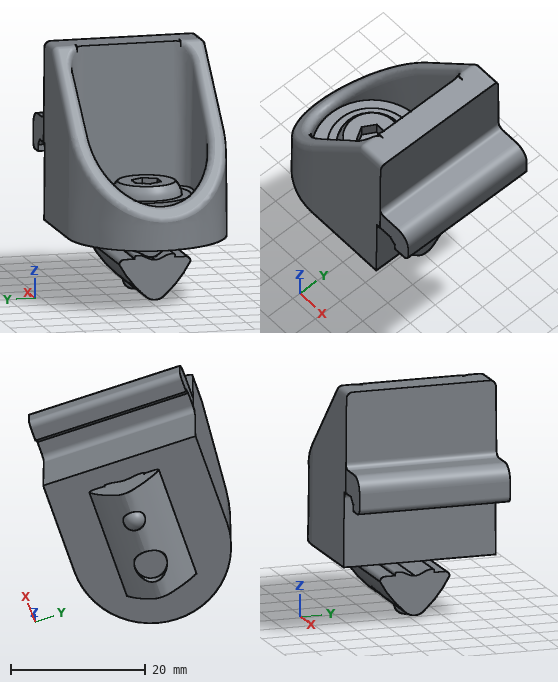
import cadquery as cq
import math


overall_length = 33.3
body_width = 24.0
body_half_width = body_width / 2
body_height = 27.0
body_draft = 0.5
lower_rear_x = 14.37
upper_rear_x = 15.05
slope_top_x = 10.35
edge_radius = 1.0
slope_side = cq.selectors.ParallelDirSelector(cq.Vector(-1, 0, 1))
touch_tolerance = 0.0005

hook_half_width = 11.87
hook_end_x = overall_length - body_half_width
hook_top_z = 15.3
hook_bottom_z = 11.58
hook_tip_z = 9.6
hook_inner_x = 18.35
hook_nose_radius = 2.4

floor_z = 5.0
cavity_half_width = 8.95
cavity_rear_x = 10.07
cavity_corner_radius = 2.0
cavity_draft = 1.0
clearance_diameter = 7.0

shank_diameter = 6.0
thread_core_diameter = 4.92
flange_diameter = 13.25
flange_height = 1.18
head_diameter = 10.62
head_top_diameter = 8.6
head_top_z = 8.2
head_dome_bulge = 0.2
hex_across_flats = 3.97
hex_depth = 2.0
screw_end_z = -7.0

nut_front_x = -5.07
nut_rear_x = 12.13
nut_top_z = -2.02
nut_shoulder_z = -2.55
nut_groove_z = -2.8
nut_bottom_z = -8.9
nut_half_width = 5.48
nut_rib_half_width = 3.1
nut_rib_radius = 0.25
nut_crest_y = 2.57
nut_corner_radius = 0.75
nut_flank_mid = (4.2, -5.33)
nut_tip_start = (1.6, -8.15)
ball_x = 7.55
ball_radius = 1.65
ball_bottom_z = -9.75


def d_prism(half_width, rear_x, base_z, height, taper, corner_radius=0.0):
    """Drafted prism with a half-round front and a square rear, whose corners may be rounded."""
    outline = (
        cq.Workplane("XY", origin=(0, 0, base_z))
        .moveTo(0, half_width)
        .threePointArc((-half_width, 0), (0, -half_width))
    )
    if corner_radius > 0:
        outline = (
            outline.lineTo(rear_x - corner_radius, -half_width)
            .radiusArc((rear_x, corner_radius - half_width), -corner_radius)
            .lineTo(rear_x, half_width - corner_radius)
            .radiusArc((rear_x - corner_radius, half_width), -corner_radius)
        )
    else:
        outline = outline.lineTo(rear_x, -half_width).lineTo(rear_x, half_width)
    return outline.close().extrude(height, taper=taper)


def make_block():
    """Drafted block under a 45 degree slope, with its upper edges rounded."""
    blank = d_prism(body_half_width, 2 * upper_rear_x, 0, body_height, body_draft)
    front_x = -2 * body_half_width
    slope_front_z = body_height - (slope_top_x - front_x)
    side = (
        cq.Workplane("XZ")
        .moveTo(front_x, slope_front_z)
        .lineTo(lower_rear_x, slope_front_z)
        .lineTo(lower_rear_x, hook_bottom_z)
        .lineTo(upper_rear_x, hook_bottom_z)
        .lineTo(upper_rear_x, body_height)
        .lineTo(slope_top_x, body_height)
        .close()
        .extrude(2 * body_half_width, both=True)
    )
    block = blank.intersect(side)
    slope_edges = block.faces(slope_side).edges()
    top_side_edges = block.faces(">Z").edges(">Y or <Y")
    return slope_edges.add(top_side_edges).fillet(edge_radius)


def make_cavity():
    """Drafted pocket, open through the slope, with rounded rear corners."""
    return d_prism(
        cavity_half_width, cavity_rear_x, floor_z, body_height, -cavity_draft, cavity_corner_radius
    )


def make_hook():
    """Downturned hook across the rear face."""
    return (
        cq.Workplane("XZ")
        .moveTo(lower_rear_x, hook_bottom_z - edge_radius)
        .radiusArc((lower_rear_x + edge_radius, hook_bottom_z), edge_radius)
        .lineTo(hook_inner_x - edge_radius, hook_bottom_z)
        .lineTo(hook_inner_x, hook_bottom_z - edge_radius)
        .lineTo(hook_inner_x, hook_tip_z)
        .lineTo(hook_end_x - edge_radius, hook_tip_z)
        .radiusArc((hook_end_x, hook_tip_z + edge_radius), -edge_radius)
        .lineTo(hook_end_x, hook_top_z - hook_nose_radius)
        .radiusArc((hook_end_x - hook_nose_radius, hook_top_z), -hook_nose_radius)
        .lineTo(upper_rear_x + edge_radius, hook_top_z)
        .radiusArc((upper_rear_x, hook_top_z + edge_radius), edge_radius)
        .lineTo(upper_rear_x, hook_bottom_z)
        .lineTo(lower_rear_x, hook_bottom_z)
        .close()
        .extrude(hook_half_width, both=True)
    )


def make_housing():
    """Housing with cavity, rounded cavity mouth, screw clearance hole and hook."""
    cavity = make_cavity()
    housing = make_block().cut(cavity)

    def on_cavity_wall(edge):
        middle = cq.Vertex.makeVertex(*edge.positionAt(0.5).toTuple())
        return middle.distance(cavity.val()) < touch_tolerance

    lip_width = 2 * cavity_half_width - cavity_corner_radius
    lip_zone = (
        cq.Workplane("XY", origin=(cavity_rear_x, 0, floor_z))
        .rect(2 * (upper_rear_x - cavity_rear_x), lip_width)
        .extrude(body_height - floor_z)
    )
    rear_lip = housing.intersect(lip_zone)
    mouth_edges = housing.faces(slope_side).edges().filter(on_cavity_wall)
    housing = mouth_edges.fillet(edge_radius).union(rear_lip)
    clearance_hole = cq.Workplane("XY").circle(clearance_diameter / 2).extrude(floor_z)
    return housing.cut(clearance_hole).union(make_hook())


def make_screw():
    """Flanged button-head screw with a hexagon socket."""
    shank_radius = shank_diameter / 2
    core_radius = thread_core_diameter / 2
    flange_top_z = floor_z + flange_height
    dome_mid = (
        (head_diameter + head_top_diameter) / 4 + head_dome_bulge,
        (flange_top_z + head_top_z) / 2 + head_dome_bulge,
    )
    body = (
        cq.Workplane("XZ")
        .moveTo(0, screw_end_z)
        .lineTo(core_radius, screw_end_z)
        .lineTo(core_radius, nut_groove_z)
        .lineTo(shank_radius, nut_groove_z)
        .lineTo(shank_radius, floor_z)
        .lineTo(flange_diameter / 2, floor_z)
        .lineTo(flange_diameter / 2, flange_top_z)
        .lineTo(head_diameter / 2, flange_top_z)
        .threePointArc(dome_mid, (head_top_diameter / 2, head_top_z))
        .lineTo(0, head_top_z)
        .close()
        .revolve(360, (0, 0, 0), (0, 1, 0))
    )
    hex_across_corners = hex_across_flats / math.cos(math.radians(30))
    socket = (
        cq.Workplane("XY", origin=(0, 0, head_top_z - hex_depth))
        .polygon(6, hex_across_corners)
        .extrude(hex_depth)
    )
    return body.cut(socket)


def make_nut():
    """Wedge-shaped slot nut with a tapped hole, a groove on top and a spring ball below."""
    corner_y = nut_half_width - nut_corner_radius
    corner_z = nut_shoulder_z - nut_corner_radius
    mid_y, mid_z = nut_flank_mid
    tip_y, tip_z = nut_tip_start
    half = (
        cq.Workplane("YZ", origin=(nut_front_x, 0, 0))
        .moveTo(0, nut_groove_z)
        .spline([(nut_crest_y, nut_top_z)], tangents=[(1, 0), (1, 0)], includeCurrent=True)
        .lineTo(nut_rib_half_width - nut_rib_radius, nut_top_z)
        .radiusArc((nut_rib_half_width, nut_top_z - nut_rib_radius), nut_rib_radius)
        .lineTo(nut_rib_half_width, nut_shoulder_z)
        .lineTo(corner_y, nut_shoulder_z)
        .radiusArc((nut_half_width, corner_z), nut_corner_radius)
        .threePointArc((mid_y, mid_z), (tip_y, tip_z))
        .spline([(0, nut_bottom_z)], tangents=[(-1, -1), (-1, 0)], includeCurrent=True)
        .close()
        .extrude(nut_rear_x - nut_front_x)
    )
    ball = cq.Workplane("XY").sphere(ball_radius).translate((ball_x, 0, ball_bottom_z + ball_radius))
    tapped_hole = cq.Workplane("XY", origin=(0, 0, nut_bottom_z)).circle(thread_core_diameter / 2)
    shank_seat = cq.Workplane("XY", origin=(0, 0, nut_groove_z)).circle(shank_diameter / 2)
    return (
        half.union(half.mirror("XZ"))
        .union(ball)
        .cut(tapped_hole.extrude(nut_top_z - nut_bottom_z))
        .cut(shank_seat.extrude(nut_top_z - nut_groove_z))
    )


housing = make_housing()
screw = make_screw()
nut = make_nut()

result = cq.Compound.makeCompound([housing.val(), screw.val(), nut.val()])